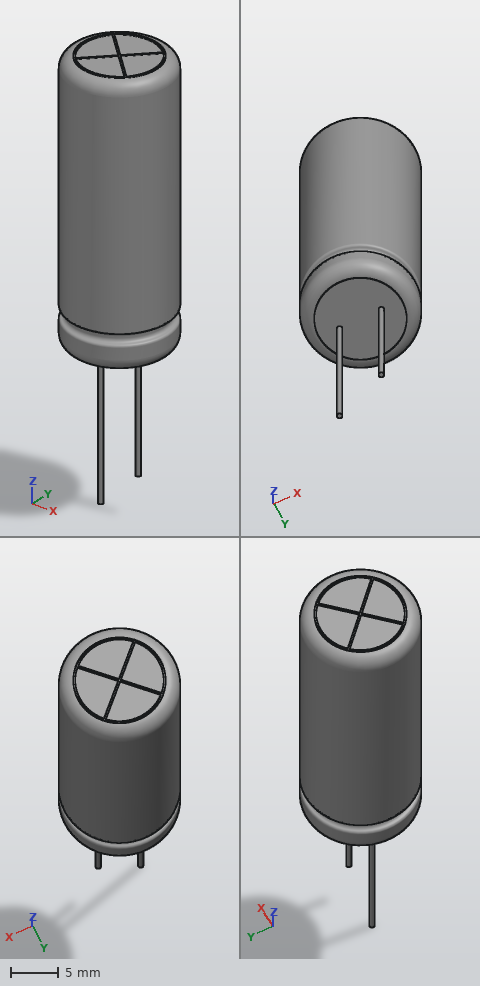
import cadquery as cq
import math

TOTAL_HEIGHT = 55.0
CAN_DIAMETER = 13.0
CAN_HEIGHT = 35.0
CAN_BASE_Z = TOTAL_HEIGHT - CAN_HEIGHT
OPENING_DIAMETER = 9.85
SLEEVE_THICKNESS = 0.1

GROOVE_DIAMETER = 11.6
GROOVE_CENTRE_Z = 24.05
SHOULDER_RADIUS = 0.35
ROOT_RADIUS = 0.5
FLOOR_HALF_WIDTH = 0.1

VENT_DIAMETER = 9.4
VENT_GROOVE_WIDTH = (OPENING_DIAMETER - VENT_DIAMETER) / 2
VENT_GROOVE_DEPTH = 0.1
VENT_ANGLES = (45, 135)

LEAD_DIAMETER = 0.6
LEAD_PITCH = 5.0
LONG_LEAD_LENGTH = CAN_BASE_Z
SHORT_LEAD_LENGTH = 15.0

CAN_RADIUS = CAN_DIAMETER / 2
OPENING_RADIUS = OPENING_DIAMETER / 2
END_ROUND = CAN_RADIUS - OPENING_RADIUS
GROOVE_RADIUS = GROOVE_DIAMETER / 2
CORNER_RADII = SHOULDER_RADIUS + ROOT_RADIUS
CORNER_SWEEP = math.degrees(math.acos(1 - (CAN_RADIUS - GROOVE_RADIUS) / CORNER_RADII))
CORNER_HEIGHT = CORNER_RADII * math.sin(math.radians(CORNER_SWEEP))


def add_arc(outline, centre, radius, start_angle, end_angle):
    """Extend the outline by an arc about centre, angles in degrees."""
    points = []
    for angle in ((start_angle + end_angle) / 2, end_angle):
        turn = math.radians(angle)
        points.append((centre[0] + radius * math.cos(turn), centre[1] + radius * math.sin(turn)))
    return outline.threePointArc(*points)


def grooved_cylinder(inset):
    """Solid can shape with rounded ends and rolled groove, shrunk by inset on every side."""
    wall = CAN_RADIUS - inset
    bottom = CAN_BASE_Z + inset
    top = TOTAL_HEIGHT - inset
    end_round = END_ROUND - inset
    shoulder = SHOULDER_RADIUS - inset
    root = ROOT_RADIUS + inset
    shoulder_centre = CAN_RADIUS - SHOULDER_RADIUS
    shoulder_offset = FLOOR_HALF_WIDTH + CORNER_HEIGHT
    lower_shoulder_z = GROOVE_CENTRE_Z - shoulder_offset
    upper_shoulder_z = GROOVE_CENTRE_Z + shoulder_offset
    root_centre = GROOVE_RADIUS + ROOT_RADIUS
    lower_root_z = GROOVE_CENTRE_Z - FLOOR_HALF_WIDTH
    upper_root_z = GROOVE_CENTRE_Z + FLOOR_HALF_WIDTH

    outline = cq.Workplane("XZ").moveTo(0, bottom).lineTo(OPENING_RADIUS, bottom)
    outline = add_arc(outline, (OPENING_RADIUS, bottom + end_round), end_round, -90, 0)
    outline = outline.lineTo(wall, lower_shoulder_z)
    outline = add_arc(outline, (shoulder_centre, lower_shoulder_z), shoulder, 0, CORNER_SWEEP)
    outline = add_arc(outline, (root_centre, lower_root_z), root, 180 + CORNER_SWEEP, 180)
    outline = outline.lineTo(root_centre - root, upper_root_z)
    outline = add_arc(outline, (root_centre, upper_root_z), root, 180, 180 - CORNER_SWEEP)
    outline = add_arc(outline, (shoulder_centre, upper_shoulder_z), shoulder, -CORNER_SWEEP, 0)
    outline = outline.lineTo(wall, top - end_round)
    outline = add_arc(outline, (OPENING_RADIUS, top - end_round), end_round, 0, 90)
    return outline.lineTo(0, top).close().revolve(360, (0, 0, 0), (0, 1, 0))


def disc(diameter, bottom, height):
    """Vertical round bar on the can axis."""
    return cq.Workplane("XY").workplane(offset=bottom).circle(diameter / 2).extrude(height)


def make_sleeve():
    """Thin shrink sleeve that hugs the can and is open at both ends."""
    opening = disc(OPENING_DIAMETER, CAN_BASE_Z, CAN_HEIGHT)
    return grooved_cylinder(0).cut(grooved_cylinder(SLEEVE_THICKNESS)).cut(opening)


def vent_grooves():
    """Shallow ring and cross that are cut into the top face."""
    floor = TOTAL_HEIGHT - VENT_GROOVE_DEPTH
    ring = disc(OPENING_DIAMETER, floor, VENT_GROOVE_DEPTH).cut(disc(VENT_DIAMETER, floor, VENT_GROOVE_DEPTH))
    for angle in VENT_ANGLES:
        slot = (
            cq.Workplane("XY")
            .workplane(offset=floor)
            .transformed(rotate=(0, 0, angle))
            .rect(VENT_DIAMETER, VENT_GROOVE_WIDTH)
            .extrude(VENT_GROOVE_DEPTH)
        )
        ring = ring.union(slot)
    return ring


def lead(x, length):
    """Round wire that hangs down from the can base."""
    return disc(LEAD_DIAMETER, CAN_BASE_Z - length, length).translate((x, 0, 0))


def make_can():
    """Capacitor can with flush end faces, vented top and two leads."""
    end_faces = disc(OPENING_DIAMETER, CAN_BASE_Z, CAN_HEIGHT)
    can = grooved_cylinder(SLEEVE_THICKNESS).union(end_faces).cut(vent_grooves())
    can = can.union(lead(-LEAD_PITCH / 2, LONG_LEAD_LENGTH))
    return can.union(lead(LEAD_PITCH / 2, SHORT_LEAD_LENGTH))


sleeve = make_sleeve()
can = make_can()
result = cq.Compound.makeCompound([sleeve.val(), can.val()])